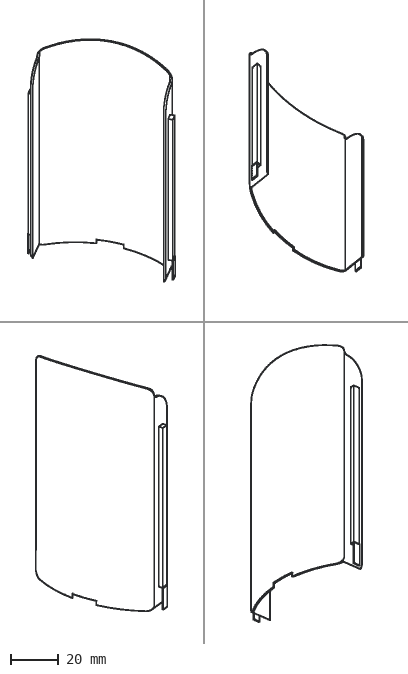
import cadquery as cq
import math

height = 109.4
depth = 18.7
overall_width = 63.6
half_width = overall_width / 2

shell_width = 59.0
plate_outer_x = shell_width / 2
plate_thickness = 1.0
panel_thickness = 0.7
panel_sag = 8.9
plate_inner_x = plate_outer_x - plate_thickness
panel_radius = (plate_outer_x**2 + panel_sag**2) / (2 * panel_sag)
panel_inner_radius = panel_radius - panel_thickness

top_radius = 89.7
top_corner_radius = 4.0
bottom_corner_radius = 3.0
top_edge_z = height - top_radius + math.sqrt(top_radius**2 - plate_outer_x**2)

notch_width = 11.9
notch_height = 2.0

shoulder_radius = 9.0
shoulder_top_z = 100.8
shoulder_center_y = shoulder_radius - depth
shoulder_center_z = shoulder_top_z - shoulder_radius
blend_start_y = -panel_sag
blend_start_z = 102.2
blend_middle_y = -9.5
blend_middle_z = 101.1
blend_end_y = -10.9

rail_outer_x = 31.5
rail_back_y = -12.3
rail_width = 3.1
rail_bottom_z = 10.2
rail_top_z = 85.9
tab_thickness = 0.5


def panel_arc_y(radius, x):
    """Y on an arc concentric with the panel, whose crown lies at Y = 0."""
    return math.sqrt(radius**2 - x**2) - panel_radius


def make_section():
    """Bowed panel and both plates, extruded to the full height."""
    outer_y = panel_arc_y(panel_radius, plate_outer_x)
    inner_y = panel_arc_y(panel_inner_radius, plate_inner_x)
    return (
        cq.Workplane("XY")
        .moveTo(-plate_outer_x, -depth)
        .lineTo(-plate_outer_x, outer_y)
        .threePointArc((0, 0), (plate_outer_x, outer_y))
        .lineTo(plate_outer_x, -depth)
        .lineTo(plate_inner_x, -depth)
        .lineTo(plate_inner_x, inner_y)
        .threePointArc((0, -panel_thickness), (-plate_inner_x, inner_y))
        .lineTo(-plate_inner_x, -depth)
        .close()
        .extrude(height)
    )


def make_front_outline():
    """Block with the arched top and rounded corners of the shell."""
    block = (
        cq.Workplane("XZ")
        .moveTo(-plate_outer_x, 0)
        .lineTo(plate_outer_x, 0)
        .lineTo(plate_outer_x, top_edge_z)
        .threePointArc((0, height), (-plate_outer_x, top_edge_z))
        .close()
        .extrude(depth)
    )
    block = block.edges("|Y").edges("<Z").fillet(bottom_corner_radius)
    return block.edges("|Y").edges(">Z").fillet(top_corner_radius)


def make_shoulder_cutter():
    """Material above the curved top edge of the side plates."""
    blend_offset = blend_end_y - shoulder_center_y
    blend_end_z = shoulder_center_z + math.sqrt(shoulder_radius**2 - blend_offset**2)
    diagonal = shoulder_radius / math.sqrt(2)
    return (
        cq.Workplane("YZ")
        .moveTo(-depth, height)
        .lineTo(-depth, shoulder_center_z)
        .threePointArc(
            (shoulder_center_y - diagonal, shoulder_center_z + diagonal),
            (blend_end_y, blend_end_z),
        )
        .threePointArc((blend_middle_y, blend_middle_z), (blend_start_y, blend_start_z))
        .lineTo(blend_start_y, height)
        .close()
        .extrude(plate_outer_x, both=True)
    )


def make_notch_cutter():
    return cq.Workplane("XY").box(
        notch_width, depth, notch_height, centered=(True, True, False)
    )


def make_side_block(side, inner_x, outer_x, bottom_z, top_z):
    """Upright bar of rail width on one side: -1 for -X, 1 for +X."""
    center_x = side * (inner_x + outer_x) / 2
    return (
        cq.Workplane("XY")
        .box(outer_x - inner_x, rail_width, top_z - bottom_z, centered=(True, False, False))
        .translate((center_x, rail_back_y - rail_width, bottom_z))
    )


def make_cover():
    cover = make_section().intersect(make_front_outline())
    cover = cover.cut(make_shoulder_cutter()).cut(make_notch_cutter())
    for side in (-1, 1):
        rail = make_side_block(side, plate_outer_x, rail_outer_x, rail_bottom_z, rail_top_z)
        tab = make_side_block(side, half_width - tab_thickness, half_width, 0, rail_bottom_z)
        cover = cover.union(rail).union(tab)
    return cover.solids()


cover = make_cover()
result = cq.Compound.makeCompound([cover.val()])